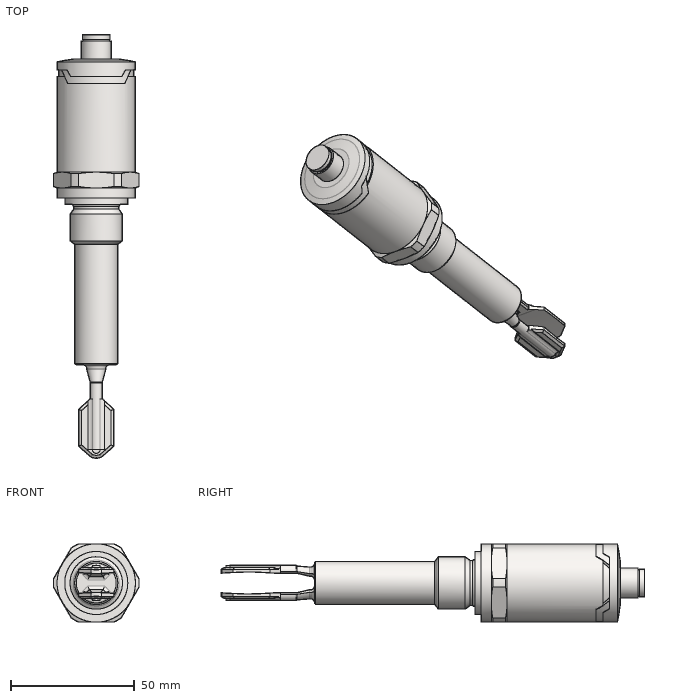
import math

import cadquery as cq

total_length = 171.9

plug_radius = 5.65
plug_groove_radius = 5.4
plug_collar_radius = 6.1
plug_groove_start = 2.0
plug_collar_start = 2.6

housing_radius = 15.9
cap_face_radius = 8.8
cap_rise_radius = 13.5
cap_start = 9.8
cap_rise_end = 10.5
cap_shoulder = 11.0
hex_across_flats = 2 * housing_radius
hex_corner_radius = 17.45
hex_start = 55.8
hex_end = 62.2
hex_chamfer_axial = 0.6
flange_end = 66.3

side_seam_depth = 0.6
tab_seam_depth = 0.1
cap_edge = 14.3
seam_width = 2.6
cap_tab_drop = 2.6
body_tab_drop = 2.9
cap_tab_root_half_width = 11.9
cap_tab_tip_half_width = 10.4
body_tab_root_half_width = 12.9
body_tab_tip_half_width = 11.6
cut_clearance = 1.0

spigot_radius = 12.8
spigot_end = 68.9
undercut_shoulder_radius = 9.7
undercut_radius = 9.2
undercut_start = 69.8
undercut_end = 70.8
thread_radius = 10.65
thread_start = 72.8
thread_end = 83.7
thread_tip_radius = 9.3
thread_tip = 84.7
tube_radius = 8.75
tube_start = 85.2
tube_end = 134.0
tube_end_chamfer_radial = 0.65
tube_end_chamfer_axial = 0.5

tine_root = (tube_end, 3.9, 2.7, 6.5)
tine_neck_start = (135.9, 3.9, 2.7, 6.5)
tine_neck_end = (141.0, 2.5, 3.9, 6.9)
tine_stem_start = (141.4, 2.5, 3.9, 7.2)
tine_stem_end = (149.5, 2.5, 3.9, 7.2)
section_corner_ratio = 0.28
tine_root_fillet = 1.45

blade_half_width = 7.15
blade_start = 147.8
blade_full_start = 152.0
blade_full_end = 167.0
blade_tip_half_width = 2.2
blade_tip_shoulder = 171.4
blade_inner_z = tine_stem_end[2]
blade_outer_z = 6.2
blade_bevel_width = 1.2
blade_bevel_height = 0.7
blade_bow = 0.5
channel_half_width = 3.4
channel_depth = 0.25
channel_end = 168.3
nose_radius = 1.6
rib_outer_z = tine_stem_end[3]
nose_outer_z = 7.1
tip_slope_start = 169.2
tip_slope_mid_station = 170.9
tip_slope_mid_z = 6.5
tip_slope_end_z = 5.2


def along(station):
    """Y coordinate of a distance measured from the plug end."""
    return total_length - station


def body_of_revolution():
    profile = [
        (0, 0),
        (plug_radius, 0),
        (plug_radius, plug_groove_start),
        (plug_groove_radius, plug_groove_start),
        (plug_groove_radius, plug_collar_start),
        (plug_collar_radius, plug_collar_start),
        (plug_collar_radius, cap_start),
        (cap_face_radius, cap_start),
        (cap_rise_radius, cap_rise_end),
        (housing_radius, cap_shoulder),
        (housing_radius, flange_end),
        (spigot_radius, flange_end),
        (spigot_radius, spigot_end),
        (undercut_shoulder_radius, spigot_end),
        (undercut_radius, undercut_start),
        (undercut_radius, undercut_end),
        (thread_radius, thread_start),
        (thread_radius, thread_end),
        (thread_tip_radius, thread_tip),
        (tube_radius, tube_start),
        (tube_radius, tube_end - tube_end_chamfer_axial),
        (tube_radius - tube_end_chamfer_radial, tube_end),
        (0, tube_end),
    ]
    points = [(radius, along(station)) for radius, station in profile]
    return cq.Workplane("XY").polyline(points).close().revolve(360, (0, 0, 0), (0, 1, 0))


def hexagon():
    """Hexagon with corners on X, trimmed by a cylinder and a cone at each end."""
    corner_distance = hex_across_flats / math.cos(math.pi / 6)
    length = hex_end - hex_start
    prism = (
        cq.Workplane("XZ", origin=(0, along(hex_start), 0))
        .polygon(6, corner_distance)
        .extrude(length)
    )
    envelope = (
        cq.Workplane("XZ", origin=(0, along(hex_start), 0))
        .circle(hex_corner_radius)
        .extrude(length)
        .faces("<Y or >Y")
        .chamfer(hex_chamfer_axial, hex_corner_radius - housing_radius)
    )
    return prism.intersect(envelope)


def ring(depth, start, length):
    """Ring of the given depth under the housing surface, with clearance outside it."""
    return (
        cq.Workplane("XZ", origin=(0, along(start), 0))
        .circle(housing_radius + cut_clearance)
        .circle(housing_radius - depth)
        .extrude(length)
    )


def tab_outline(edge, drop, root_half_width, tip_half_width):
    """Prism through the housing covering everything plug-ward of a tabbed edge."""
    outer = housing_radius + cut_clearance
    points = [
        (-outer, along(0)),
        (-outer, along(edge)),
        (-root_half_width, along(edge)),
        (-tip_half_width, along(edge + drop)),
        (tip_half_width, along(edge + drop)),
        (root_half_width, along(edge)),
        (outer, along(edge)),
        (outer, along(0)),
    ]
    return cq.Workplane("XY").polyline(points).close().extrude(outer, both=True)


def cap_seam():
    cap_side = tab_outline(cap_edge, cap_tab_drop, cap_tab_root_half_width, cap_tab_tip_half_width)
    body_edge = cap_edge + seam_width
    body_side = tab_outline(body_edge, body_tab_drop, body_tab_root_half_width, body_tab_tip_half_width)
    shallow_ring = ring(tab_seam_depth, cap_edge, seam_width + body_tab_drop)
    shallow = shallow_ring.intersect(body_side).cut(cap_side)

    slant = (body_tab_root_half_width - body_tab_tip_half_width) / body_tab_drop
    tab_zone = tab_outline(
        cap_edge,
        seam_width,
        body_tab_root_half_width + slant * seam_width,
        body_tab_root_half_width,
    )
    deep = ring(side_seam_depth, cap_edge, seam_width).cut(tab_zone)
    return shallow.union(deep)


def tine_section(station, half_width, inner_z, outer_z):
    """Wire with a flat inner side, bevelled inner corners and a round back."""
    corner = section_corner_ratio * half_width
    flat = half_width - corner
    return (
        cq.Workplane("XZ", origin=(0, along(station), 0))
        .moveTo(-flat, inner_z)
        .lineTo(flat, inner_z)
        .lineTo(half_width, inner_z + corner)
        .threePointArc((0, outer_z), (-half_width, inner_z + corner))
        .close()
        .val()
    )


def tine_loft(sections):
    wires = [tine_section(*section) for section in sections]
    return cq.Workplane(obj=cq.Solid.makeLoft(wires, True))


def tine_stem():
    return tine_loft([tine_root, tine_neck_start, tine_neck_end, tine_stem_start, tine_stem_end])


def blade_plate():
    """Shield-shaped plate with a rounded tip and a bevelled back edge."""
    neck = tine_stem_end[1]
    return (
        cq.Workplane("XY", origin=(0, 0, blade_inner_z))
        .moveTo(-neck, along(blade_start))
        .lineTo(-blade_half_width, along(blade_full_start))
        .lineTo(-blade_half_width, along(blade_full_end))
        .lineTo(-blade_tip_half_width, along(blade_tip_shoulder))
        .threePointArc((0, 0), (blade_tip_half_width, along(blade_tip_shoulder)))
        .lineTo(blade_half_width, along(blade_full_end))
        .lineTo(blade_half_width, along(blade_full_start))
        .lineTo(neck, along(blade_start))
        .close()
        .extrude(blade_outer_z - blade_inner_z)
        .faces(">Z")
        .chamfer(blade_bevel_height, blade_bevel_width)
    )


def blade_channel():
    """Shallow flat-floored channel along the back of the blade."""
    return (
        cq.Workplane("XZ", origin=(0, along(blade_start), 0))
        .center(0, blade_outer_z)
        .rect(2 * channel_half_width, 2 * channel_depth)
        .extrude(channel_end - blade_start)
    )


def blade_rib():
    """Rib continuing the round back of the stem between the channel edges, ending in a half-round nose."""
    half_width = tine_stem_end[1]
    arc_end_z = blade_inner_z + section_corner_ratio * half_width
    rise = rib_outer_z - arc_end_z
    crown_radius = (half_width**2 + rise**2) / (2 * rise)
    crown_center_z = rib_outer_z - crown_radius

    floor_z = blade_outer_z - channel_depth
    floor_height = floor_z - crown_center_z
    flank_radius = (channel_half_width**2 + floor_height**2 - crown_radius**2) / (
        2 * (crown_radius - floor_height)
    )
    flank_center_z = floor_z + flank_radius
    reach = crown_radius / (crown_radius + flank_radius)
    tangent_x = channel_half_width * reach
    tangent_z = crown_center_z + (flank_center_z - crown_center_z) * reach
    half_angle = math.asin((channel_half_width - tangent_x) / flank_radius) / 2
    middle_x = channel_half_width - flank_radius * math.sin(half_angle)
    middle_z = flank_center_z - flank_radius * math.cos(half_angle)

    base_z = blade_inner_z + blade_bow
    rib = (
        cq.Workplane("XZ", origin=(0, along(blade_start), 0))
        .moveTo(-channel_half_width, base_z)
        .lineTo(channel_half_width, base_z)
        .lineTo(channel_half_width, floor_z)
        .threePointArc((middle_x, middle_z), (tangent_x, tangent_z))
        .threePointArc((0, rib_outer_z), (-tangent_x, tangent_z))
        .threePointArc((-middle_x, middle_z), (-channel_half_width, floor_z))
        .close()
        .extrude(channel_end - blade_start)
    )
    nose = (
        cq.Workplane("XY", origin=(0, along(channel_end), base_z))
        .circle(nose_radius)
        .extrude(nose_outer_z - base_z)
    )
    beyond_rib = (
        cq.Workplane("XZ", origin=(0, along(channel_end), 0))
        .rect(2 * blade_half_width, 2 * rib_outer_z)
        .extrude(along(channel_end))
    )
    return rib.union(nose.intersect(beyond_rib))


def tip_slope():
    """Rounded-off region above the blade where its back curves down to the tip."""
    return (
        cq.Workplane("YZ")
        .moveTo(along(tip_slope_start), rib_outer_z)
        .threePointArc((along(tip_slope_mid_station), tip_slope_mid_z), (0, tip_slope_end_z))
        .lineTo(0, rib_outer_z)
        .close()
        .extrude(blade_half_width, both=True)
    )


def blade_hollow():
    """Shallow bow along the inner face of the blade."""
    return (
        cq.Workplane("YZ")
        .moveTo(along(tine_stem_end[0]), blade_inner_z)
        .threePointArc((along(tine_stem_end[0]) / 2, blade_inner_z + blade_bow), (0, blade_inner_z))
        .close()
        .extrude(blade_half_width, both=True)
    )


def tine():
    plate = blade_plate()
    rib_height = rib_outer_z - blade_inner_z
    footprint = plate.faces("<Z").wires().toPending().extrude(rib_height, combine=False)
    return (
        plate.cut(blade_channel())
        .union(blade_rib().intersect(footprint))
        .union(tine_stem())
        .cut(tip_slope())
        .cut(blade_hollow())
    )


def fillet_tine_roots(body):
    """Round the joints between the tines and the end face of the probe tube."""
    reach = tine_root[3] + tine_root_fillet / 2
    margin = tine_root_fillet / 2
    joint_edges = cq.selectors.BoxSelector(
        (-reach, along(tube_end) - margin, -reach),
        (reach, along(tube_end) + margin, reach),
        boundingbox=True,
    )
    return body.edges(joint_edges).fillet(tine_root_fillet)


upper_tine = tine()
lower_tine = upper_tine.mirror("XY")
probe = body_of_revolution().cut(cap_seam()).union(hexagon())
result = fillet_tine_roots(probe.union(upper_tine).union(lower_tine))